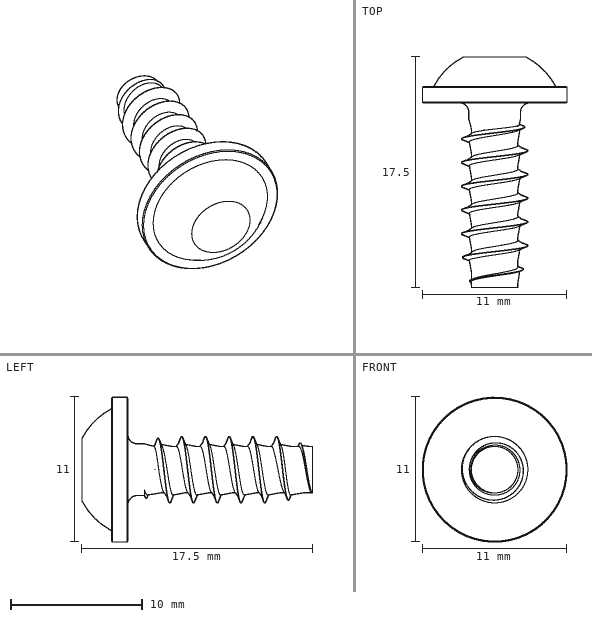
import cadquery as cq
import math


flange_radius = 5.5
flange_thickness = 1.25
flange_chamfer = 0.08
dome_base_radius = 4.64
dome_top_radius = 2.37
dome_curve_radius = 5.5
head_height = 3.5

shank_length = 14.0
neck_radius = 1.97
neck_fillet = 0.7
neck_length = 1.25
core_radius = 1.765
runout_length = 0.8
tip_radius = 1.75
tip_cone_slope = 0.13
dimple_radius = 1.64
dimple_depth = 0.2

pitch = 1.8
major_radius = 2.52
start_crest_radius = 2.14
start_taper_length = 1.5
tip_taper_length = 2.5
first_crest_y = -0.92
ridge_overshoot = 0.05
thread_overrun = 0.15
spans_per_turn = 2
points_per_span = 12

head_root_offset = 0.4
head_knee_offset = 0.17
head_knee_radius = 2.08
tip_root_offset = -0.25
tip_root_radius = 1.93
taper_end_offset = -1.14
root_sink = 0.01
buried_radius = 0.8
least_flank_scale = 0.2


def revolve_about_y(sketch):
    return sketch.close().revolve(360, (0, 0, 0), (0, 1, 0))


def make_head():
    flange = cq.Workplane("XZ").circle(flange_radius).extrude(-flange_thickness)
    flange = flange.edges().chamfer(flange_chamfer)
    dome = revolve_about_y(
        cq.Workplane("XY")
        .lineTo(dome_base_radius, 0)
        .lineTo(dome_base_radius, flange_thickness)
        .radiusArc((dome_top_radius, head_height), -dome_curve_radius)
        .lineTo(0, head_height)
    )
    return flange.union(dome)


def make_core():
    """Fillet under the head, plain neck, cone down to the thread root, and the threaded core."""
    bury = flange_thickness / 2
    fillet_radius = neck_radius + neck_fillet
    return revolve_about_y(
        cq.Workplane("XY")
        .moveTo(0, bury)
        .lineTo(fillet_radius, bury)
        .lineTo(fillet_radius, 0)
        .radiusArc((neck_radius, -neck_fillet), -neck_fillet)
        .lineTo(neck_radius, -neck_length)
        .lineTo(core_radius, -neck_length - runout_length)
        .lineTo(core_radius, -shank_length)
        .lineTo(0, -shank_length)
    )


def envelope_radius(y):
    """Crest radius, growing from the neck to the full thread and shrinking again at the tip."""
    from_start = -neck_length - y
    from_tip = shank_length + y
    start_slope = (major_radius - start_crest_radius) / start_taper_length
    tip_slope = (major_radius - tip_radius) / tip_taper_length
    return min(
        major_radius,
        start_crest_radius + start_slope * max(from_start, 0),
        tip_radius + tip_slope * max(from_tip, 0),
    )


def tip_root_cone_radius(y):
    """Radius at height y of the slight cone that the tip-side flank root follows near the tip."""
    return tip_radius + tip_cone_slope * (shank_length + y)


def make_envelope():
    """Solid of revolution that bounds the thread crests and both thread ends."""
    corners = [-neck_length, -neck_length - start_taper_length, tip_taper_length - shank_length, -shank_length]
    sketch = cq.Workplane("XY").moveTo(0, -neck_length)
    for y in corners:
        sketch = sketch.lineTo(envelope_radius(y), y)
    return revolve_about_y(sketch.lineTo(0, -shank_length))


def thread_section(turn):
    """Corner points of the thread section after the given number of turns, root to crest to root."""
    angle = math.pi + 2 * math.pi * turn
    crest_y = first_crest_y - pitch * turn
    crest = envelope_radius(crest_y)
    crest_drop = major_radius - crest
    flank_scale = 1 - crest_drop / (major_radius - tip_root_radius)
    tip_root = tip_root_offset * max(flank_scale, least_flank_scale)
    taper_drop = max(tip_root_radius - tip_root_cone_radius(crest_y + tip_root), 0)
    taper_slope = (tip_root_radius - core_radius) / (tip_root_offset - taper_end_offset)
    taper_end = taper_end_offset - root_sink / taper_slope
    corners = [
        (head_root_offset, buried_radius),
        (head_root_offset, core_radius - root_sink - crest_drop),
        (head_knee_offset, head_knee_radius - crest_drop),
        (0, crest + ridge_overshoot),
        (tip_root, tip_root_radius - taper_drop),
        (taper_end, core_radius - root_sink - taper_drop),
        (taper_end, buried_radius),
    ]
    return [cq.Vector(r * math.cos(angle), crest_y + offset, r * math.sin(angle)) for offset, r in corners]


def make_thread():
    """Right-hand ridge of ruled faces between the helical paths of the section corners."""
    turns = (first_crest_y + shank_length + thread_overrun) / pitch
    spans = math.ceil(turns * spans_per_turn)
    faces = []
    for span in range(spans):
        stations = [(span + i / points_per_span) / spans_per_turn for i in range(points_per_span + 1)]
        paths = zip(*[thread_section(turn) for turn in stations])
        edges = [cq.Edge.makeSpline(list(path)) for path in paths]
        neighbours = edges[1:] + edges[:1]
        faces += [cq.Face.makeRuledSurface(a, b) for a, b in zip(edges, neighbours)]
    for turn in (0, spans / spans_per_turn):
        faces.append(cq.Face.makeFromWires(cq.Wire.makePolygon(thread_section(turn), close=True)))
    ridge = cq.Solid.makeSolid(cq.Shell.makeShell(faces))
    return cq.Workplane(ridge).intersect(make_envelope())


def make_tip_dimple():
    return revolve_about_y(
        cq.Workplane("XY")
        .moveTo(0, -shank_length)
        .lineTo(dimple_radius, -shank_length)
        .lineTo(0, dimple_depth - shank_length)
    )


result = make_head().union(make_core()).union(make_thread()).cut(make_tip_dimple())